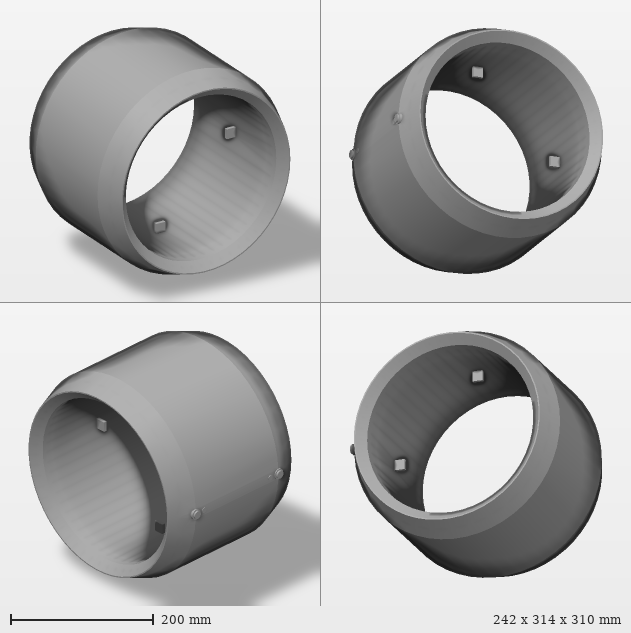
import cadquery as cq

LENGTH = 242.0
OVERALL_DEPTH = 314.0
OUTER_DIAMETER = 310.0
OUTER_RADIUS = OUTER_DIAMETER / 2
BORE_RADIUS = 125.0
STRAIGHT_LENGTH = 162.0
END_OUTER_RADIUS = 140.0
MOUTH_RADIUS = 138.2
MOUTH_DEPTH = MOUTH_RADIUS - BORE_RADIUS

TAB_WIDTH = 15.0
TAB_THICKNESS = 5.0
TAB_INNER_RADIUS = 110.0
TAB_OVERLAP = 3.0

TERMINAL_X = STRAIGHT_LENGTH / 2
TERMINAL_DIAMETER = 12.0
TERMINAL_TOP = OVERALL_DEPTH - OUTER_RADIUS
COLLAR_DIAMETER = 16.0
COLLAR_TOP = 156.5
PIN_X = 65.0
PIN_DIAMETER = 8.0
PIN_TOP = 155.7
ROOT_RADIUS = 144.5

HALF_LENGTH = LENGTH / 2


def make_sleeve():
    half_straight = STRAIGHT_LENGTH / 2
    half_bore = HALF_LENGTH - MOUTH_DEPTH
    profile = [
        (-HALF_LENGTH, MOUTH_RADIUS),
        (-HALF_LENGTH, END_OUTER_RADIUS),
        (-half_straight, OUTER_RADIUS),
        (half_straight, OUTER_RADIUS),
        (HALF_LENGTH, END_OUTER_RADIUS),
        (HALF_LENGTH, MOUTH_RADIUS),
        (half_bore, BORE_RADIUS),
        (-half_bore, BORE_RADIUS),
    ]
    return cq.Workplane("XY").polyline(profile).close().revolve(360, (0, 0, 0), (1, 0, 0))


def make_stop_tabs():
    """Tabs around the middle of the bore, with inner ends concentric with the bore."""
    tab_ring = (
        cq.Workplane("YZ", origin=(-TAB_THICKNESS / 2, 0, 0))
        .circle(BORE_RADIUS + TAB_OVERLAP)
        .circle(TAB_INNER_RADIUS)
        .extrude(TAB_THICKNESS)
    )
    bar_length = 2 * OUTER_RADIUS
    upright_bar = cq.Workplane("XY").box(TAB_THICKNESS, TAB_WIDTH, bar_length)
    level_bar = cq.Workplane("XY").box(TAB_THICKNESS, bar_length, TAB_WIDTH)
    return tab_ring.intersect(upright_bar.union(level_bar))


def make_stud(x, diameter, top):
    """Round stud along +Y, from inside the wall up to the given height."""
    plane = cq.Plane(origin=(x, ROOT_RADIUS, 0), xDir=(1, 0, 0), normal=(0, 1, 0))
    return cq.Workplane(plane).circle(diameter / 2).extrude(top - ROOT_RADIUS)


result = make_sleeve().union(make_stop_tabs())

for side in (-1, 1):
    result = result.union(make_stud(side * TERMINAL_X, COLLAR_DIAMETER, COLLAR_TOP))
    result = result.union(make_stud(side * TERMINAL_X, TERMINAL_DIAMETER, TERMINAL_TOP))
    result = result.union(make_stud(side * PIN_X, PIN_DIAMETER, PIN_TOP))